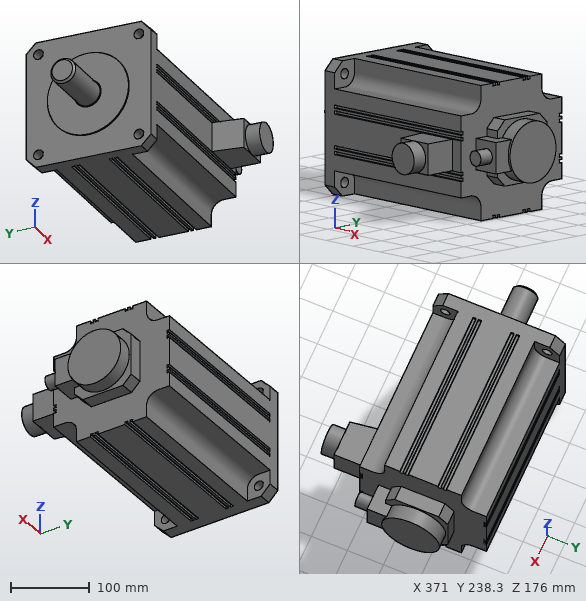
import cadquery as cq


frame_width = 176.0
flange_thickness = 18.0
corner_chamfer = 13.7
mount_hole_spacing = 141.5
mount_hole_diameter = 13.5
boss_diameter = 114.3
boss_height = 2.2

shaft_diameter = 35.0
shaft_reach = 78.3
shaft_chamfer = 3.0
shoulder_diameter = 37.0
shoulder_length = 0.7

frame_length = 234.5
relief_radius = 17.5
groove_width = 4.0
groove_depth = 3.7
inner_groove_offset = 22.5
outer_groove_offset = 30.0

cover_width = 86.0
cover_chamfer = 12.5
cover_length = 20.0
cap_diameter = 80.0

connector_width = 40.8
power_box_height = 42.3
power_box_top_length = 50.0
power_box_base_length = 56.0
power_box_rear_gap = 16.5
power_plug_diameter = connector_width
encoder_box_length = 36.7
encoder_box_reach = 61.5
encoder_plug_diameter = 20.0
plug_length = 20.0

total_length = 371
half_width = frame_width / 2
frame_end = flange_thickness + frame_length
cover_end = frame_end + cover_length
cap_length = total_length - shaft_reach - cover_end
bolt_offset = mount_hole_spacing / 2


def section_at(x):
    """Workplane across the shaft axis: local x is Y, local y is Z, normal +X."""
    return cq.Workplane("YZ", origin=(x, 0, 0))


def plug(x, y, diameter):
    """Round plug standing out toward -Y from the point (x, y)."""
    return cq.Workplane("XZ", origin=(x, y, 0)).circle(diameter / 2).extrude(plug_length)


def make_flange():
    plate = section_at(0).rect(frame_width, frame_width).extrude(flange_thickness)
    plate = plate.edges("|X").chamfer(corner_chamfer)
    holes = (
        section_at(0)
        .rect(mount_hole_spacing, mount_hole_spacing, forConstruction=True)
        .vertices()
        .circle(mount_hole_diameter / 2)
        .extrude(flange_thickness)
    )
    boss = section_at(-boss_height).circle(boss_diameter / 2).extrude(boss_height)
    return plate.cut(holes).union(boss)


def make_corner_relief():
    """Notch at the +Y +Z corner whose inner edge is rounded about the bolt axis."""
    notch_start = bolt_offset - relief_radius
    notch_size = half_width - notch_start
    notch = (
        section_at(flange_thickness)
        .center(notch_start, notch_start)
        .rect(notch_size, notch_size, centered=False)
        .extrude(frame_length)
    )
    return notch.edges("|X and <Y and <Z").fillet(relief_radius)


def make_side_grooves():
    """Four grooves along the +Z side, two on each side of the middle."""
    offsets = (-outer_groove_offset, -inner_groove_offset, inner_groove_offset, outer_groove_offset)
    return (
        section_at(flange_thickness)
        .pushPoints([(y, half_width - groove_depth / 2) for y in offsets])
        .rect(groove_width, groove_depth)
        .extrude(frame_length)
    )


def make_frame():
    frame = section_at(flange_thickness).rect(frame_width, frame_width).extrude(frame_length)
    relief = make_corner_relief()
    grooves = make_side_grooves()
    for quarter in range(4):
        angle = 90 * quarter
        frame = frame.cut(relief.rotate((0, 0, 0), (1, 0, 0), angle))
        frame = frame.cut(grooves.rotate((0, 0, 0), (1, 0, 0), angle))
    return frame


def make_rear_cover():
    cover = section_at(frame_end).rect(cover_width, cover_width).extrude(cover_length)
    cover = cover.edges("|X").chamfer(cover_chamfer)
    cap = section_at(cover_end).circle(cap_diameter / 2).extrude(cap_length)
    return cover.union(cap)


def make_power_connector():
    """Box with a sloping front on the side of the frame, carrying a round plug."""
    box_rear = frame_end - power_box_rear_gap
    box_face = -half_width - power_box_height
    box = (
        cq.Workplane("XY", origin=(0, 0, -connector_width / 2))
        .moveTo(box_rear, -half_width)
        .lineTo(box_rear, box_face)
        .lineTo(box_rear - power_box_top_length, box_face)
        .lineTo(box_rear - power_box_base_length, -half_width)
        .close()
        .extrude(connector_width)
    )
    plug_x = box_rear - power_box_top_length / 2
    return box.union(plug(plug_x, box_face, power_plug_diameter))


def make_encoder_connector():
    """Box behind the frame, reaching in to the shaft axis, carrying a round plug."""
    box = (
        cq.Workplane("XY", origin=(frame_end, -encoder_box_reach, 0))
        .box(encoder_box_length, encoder_box_reach, connector_width, centered=(False, False, True))
    )
    return box.union(plug(cover_end, -encoder_box_reach, encoder_plug_diameter))


def make_housing():
    housing = make_flange().union(make_frame()).union(make_rear_cover())
    return housing.union(make_power_connector()).union(make_encoder_connector())


def make_shaft():
    """Chamfered shaft with a thin shoulder resting on the pilot boss."""
    shaft = section_at(-shaft_reach).circle(shaft_diameter / 2).extrude(shaft_reach - boss_height)
    shaft = shaft.faces("<X").chamfer(shaft_chamfer)
    shoulder_start = -boss_height - shoulder_length
    shoulder = section_at(shoulder_start).circle(shoulder_diameter / 2).extrude(shoulder_length)
    return shaft.union(shoulder)


housing = make_housing()
shaft = make_shaft()
result = cq.Compound.makeCompound([housing.val(), shaft.val()])